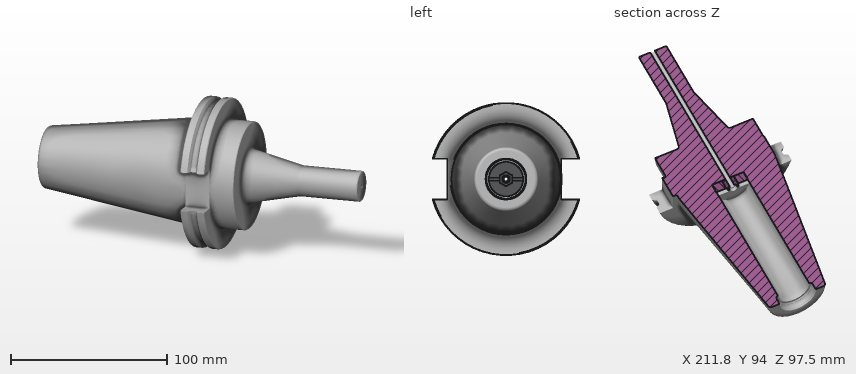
import cadquery as cq
import math

TOTAL_LENGTH = 211.8
GAUGE_X = 101.9
FLANGE_START = 104.8
FLANGE_END = 121.0
HUB_END = 136.8
SHANK_LENGTH = 40.0
SHANK_START = TOTAL_LENGTH - SHANK_LENGTH

GAUGE_DIA = 69.9
HUB_DIA = 70.0
FLANGE_DIA = 97.5
SHANK_DIA = 20.0
NECK_DIA = 35.4
TAPER_RATE = 7 / 24
SMALL_END_DIA = GAUGE_DIA - TAPER_RATE * GAUGE_X

SMALL_END_FILLET = 2.1
FLANGE_FILLET = 0.6
FLANGE_ROOT_FILLET = 0.6
HUB_CHAMFER = 0.5
NECK_FILLET = 1.7
SHANK_CHAMFER = 0.5
SELECTION_MARGIN = 0.02

GROOVE_CENTER_X = 112.9
GROOVE_DEPTH = 2.8
GROOVE_BOTTOM_WIDTH = 3.4
GROOVE_SIDE_ANGLE = 30

SLOT_WIDTH = 25.8
SLOT_FLOOR_PLUS_Y = 37.7
SLOT_FLOOR_MINUS_Y = 35.4

MOUTH_DIA = 25.5
MOUTH_CHAMFER_DEPTH = 1.5
MOUTH_CHAMFER_WIDTH = 0.5
MOUTH_DEPTH = 4.7
STEP_DIA = 25.0
STEP_DEPTH = 6.0
BORE_DIA = 22.0
BORE_DEPTH = GAUGE_X
PASSAGE_DIA = 3.0

DISC_THICKNESS = 8.5
DISC_SLOT_WIDTH = 2.0
DISC_SLOT_DEPTH = 2.1
HEX_ACROSS_FLATS = 8.0
HEX_ACROSS_CORNERS = HEX_ACROSS_FLATS / math.cos(math.pi / 6)
INSERT_COUNTERBORE_DIA = 5.0
INSERT_COUNTERBORE_DEPTH = 2.1

DISC_FACE_X = BORE_DEPTH - DISC_THICKNESS


def section_plane(x):
    """Plane across the axis at x, with its normal along +X."""
    return cq.Workplane("YZ", origin=(x, 0, 0))


def cylinder(diameter, start, end):
    """Solid cylinder on the X axis from start to end."""
    return section_plane(start).circle(diameter / 2).extrude(end - start)


def hexagon(start, end):
    """Hexagonal bar on the X axis with two corners pointing along Z."""
    bar = section_plane(start).polygon(6, HEX_ACROSS_CORNERS).extrude(end - start)
    return bar.rotate((0, 0, 0), (1, 0, 0), 90)


def revolve_about_x(profile):
    return profile.close().revolve(360, (0, 0, 0), (1, 0, 0))


def rim(x, diameter):
    """Selector for the circular edge at x with the given diameter."""
    inner = diameter / 2 - SELECTION_MARGIN
    outer = diameter / 2 + SELECTION_MARGIN
    start = x - SELECTION_MARGIN
    end = x + SELECTION_MARGIN
    up_to_rim = cq.selectors.BoxSelector((start, -outer, -outer), (end, outer, outer), boundingbox=True)
    inside_rim = cq.selectors.BoxSelector((start, -inner, -inner), (end, inner, inner), boundingbox=True)
    return up_to_rim - inside_rim


def holder_body():
    """Outer shape: taper, flange, hub, neck cone and shank."""
    body = revolve_about_x(
        cq.Workplane("XY")
        .moveTo(0, 0)
        .lineTo(0, SMALL_END_DIA / 2)
        .lineTo(GAUGE_X, GAUGE_DIA / 2)
        .lineTo(FLANGE_START, GAUGE_DIA / 2)
        .lineTo(FLANGE_START, FLANGE_DIA / 2)
        .lineTo(FLANGE_END, FLANGE_DIA / 2)
        .lineTo(FLANGE_END, HUB_DIA / 2)
        .lineTo(HUB_END, HUB_DIA / 2)
        .lineTo(HUB_END, NECK_DIA / 2)
        .lineTo(SHANK_START, SHANK_DIA / 2)
        .lineTo(TOTAL_LENGTH, SHANK_DIA / 2)
        .lineTo(TOTAL_LENGTH, 0)
    )

    body = body.edges(rim(0, SMALL_END_DIA)).fillet(SMALL_END_FILLET)
    body = body.edges(rim(FLANGE_START, FLANGE_DIA) + rim(FLANGE_END, FLANGE_DIA)).fillet(FLANGE_FILLET)
    body = body.edges(rim(FLANGE_START, GAUGE_DIA) + rim(FLANGE_END, HUB_DIA)).fillet(FLANGE_ROOT_FILLET)
    body = body.edges(rim(HUB_END, HUB_DIA)).chamfer(HUB_CHAMFER)
    body = body.edges(rim(HUB_END, NECK_DIA)).fillet(NECK_FILLET)
    return body.edges(rim(TOTAL_LENGTH, SHANK_DIA)).chamfer(SHANK_CHAMFER)


def flange_groove():
    """Ring with a V-shaped section and a flat bottom."""
    outer_radius = FLANGE_DIA / 2
    bottom_half = GROOVE_BOTTOM_WIDTH / 2
    top_half = bottom_half + GROOVE_DEPTH * math.tan(math.radians(GROOVE_SIDE_ANGLE))
    return revolve_about_x(
        cq.Workplane("XY")
        .moveTo(GROOVE_CENTER_X - top_half, outer_radius)
        .lineTo(GROOVE_CENTER_X - bottom_half, outer_radius - GROOVE_DEPTH)
        .lineTo(GROOVE_CENTER_X + bottom_half, outer_radius - GROOVE_DEPTH)
        .lineTo(GROOVE_CENTER_X + top_half, outer_radius)
    )


def key_slot(side, floor):
    """Block that cuts the flange from its rim down to the slot floor; side is +1 or -1 along Y."""
    return (
        cq.Workplane("XY")
        .box(FLANGE_END - FLANGE_START, FLANGE_DIA, SLOT_WIDTH, centered=(False, True, True))
        .translate((FLANGE_START, side * (floor + FLANGE_DIA / 2), 0))
    )


def mouth_chamfer():
    """Short cone that widens the mouth of the bore toward the end face."""
    mouth_radius = MOUTH_DIA / 2
    return revolve_about_x(
        cq.Workplane("XY")
        .moveTo(0, 0)
        .lineTo(0, mouth_radius + MOUTH_CHAMFER_WIDTH)
        .lineTo(MOUTH_CHAMFER_DEPTH, mouth_radius)
        .lineTo(MOUTH_CHAMFER_DEPTH, 0)
    )


def make_holder():
    holder = holder_body().cut(flange_groove())
    holder = holder.cut(key_slot(1, SLOT_FLOOR_PLUS_Y))
    holder = holder.cut(key_slot(-1, SLOT_FLOOR_MINUS_Y))
    holder = holder.cut(cylinder(MOUTH_DIA, 0, MOUTH_DEPTH))
    holder = holder.cut(mouth_chamfer())
    holder = holder.cut(cylinder(STEP_DIA, 0, STEP_DEPTH))
    holder = holder.cut(cylinder(BORE_DIA, 0, BORE_DEPTH))
    return holder.cut(cylinder(PASSAGE_DIA, 0, TOTAL_LENGTH))


def make_disc():
    """Disc with a screwdriver slot across its face and a hexagonal hole."""
    disc = cylinder(BORE_DIA, DISC_FACE_X, BORE_DEPTH)
    slot = cq.Workplane("XY").box(
        DISC_SLOT_DEPTH, BORE_DIA, DISC_SLOT_WIDTH, centered=(False, True, True)
    )
    disc = disc.cut(slot.translate((DISC_FACE_X, 0, 0)))
    return disc.cut(hexagon(DISC_FACE_X, BORE_DEPTH))


def make_insert():
    """Hexagonal insert with a counterbored passage, flush with the disc."""
    insert = hexagon(DISC_FACE_X, BORE_DEPTH)
    insert = insert.cut(
        cylinder(INSERT_COUNTERBORE_DIA, DISC_FACE_X, DISC_FACE_X + INSERT_COUNTERBORE_DEPTH)
    )
    return insert.cut(cylinder(PASSAGE_DIA, DISC_FACE_X, BORE_DEPTH))


holder = make_holder()
disc = make_disc()
insert = make_insert()

result = cq.Compound.makeCompound([holder.val(), disc.val(), insert.val()])